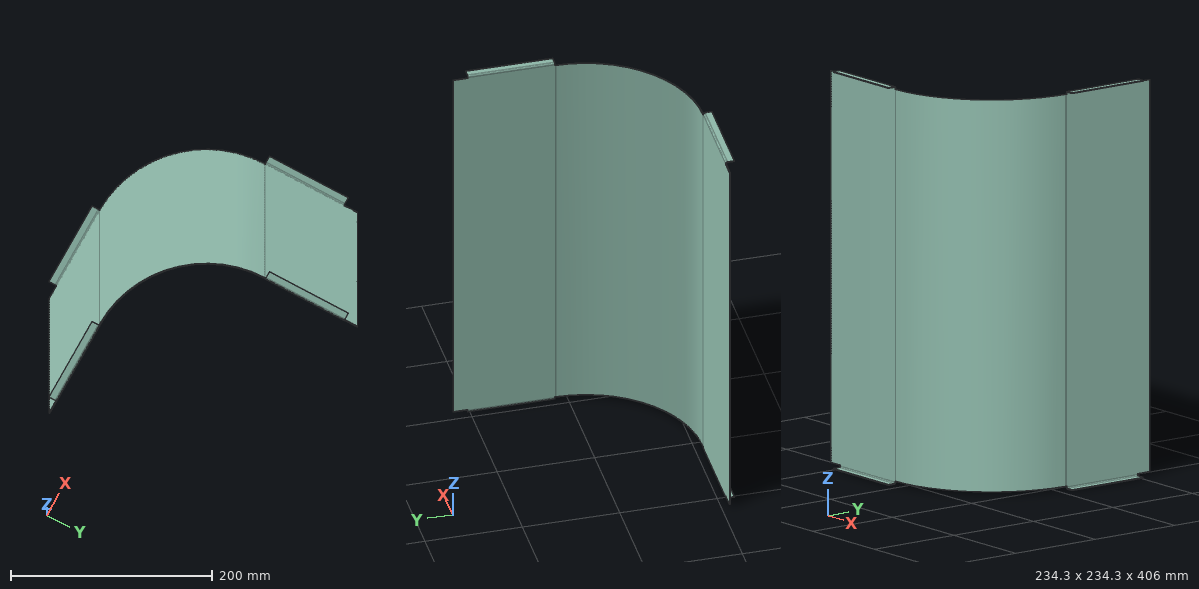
import cadquery as cq
import math

overall_height = 406
overall_width = 234.3

thickness = 1.0
flange_reach = 8.0
flat_length = 105.0
flange_rise = 3.05
sheet_height = overall_height - 2 * flange_rise
corner_radius = overall_width - flange_reach - flat_length

flange_width = 89.5
flange_inset = 15.0
inner_bend_radius = 1.0
outer_bend_radius = inner_bend_radius + thickness

outer_face = flat_length + corner_radius
inner_face = outer_face - thickness
half_root_2 = math.sqrt(0.5)


def corner_midpoint(radius):
    """Point halfway round the corner, for an arc of the given radius."""
    return (flat_length + radius * half_root_2, corner_radius - radius * half_root_2)


def curved_sheet():
    """Two straight legs joined by a quarter-round corner."""
    return (
        cq.Workplane("XY")
        .workplane(offset=-sheet_height / 2)
        .moveTo(0, 0)
        .lineTo(flat_length, 0)
        .threePointArc(corner_midpoint(corner_radius), (outer_face, corner_radius))
        .lineTo(outer_face, outer_face)
        .lineTo(inner_face, outer_face)
        .lineTo(inner_face, corner_radius)
        .threePointArc(corner_midpoint(corner_radius - thickness), (flat_length, thickness))
        .lineTo(0, thickness)
        .close()
        .extrude(sheet_height)
    )


def front_top_flange():
    """Strip rising from the front leg and bent outward, toward -Y."""
    top = overall_height / 2
    underside = top - thickness
    root = sheet_height / 2
    bend_y = thickness - outer_bend_radius
    bend_z = top - outer_bend_radius
    outer_mid = outer_bend_radius * half_root_2
    inner_mid = inner_bend_radius * half_root_2
    return (
        cq.Workplane("YZ")
        .workplane(offset=flange_inset)
        .moveTo(0, root)
        .lineTo(thickness, root)
        .lineTo(thickness, bend_z)
        .threePointArc((bend_y + outer_mid, bend_z + outer_mid), (bend_y, top))
        .lineTo(-flange_reach, top)
        .lineTo(-flange_reach, underside)
        .lineTo(bend_y, underside)
        .threePointArc((bend_y + inner_mid, bend_z + inner_mid), (0, bend_z))
        .close()
        .extrude(flange_width)
    )


def on_side_leg(front_body):
    """Reflect a front-leg body in the diagonal plane X + Y = outer_face."""
    turned = front_body.rotate((0, 0, 0), (0, 0, 1), 90)
    return turned.mirror("XZ").translate((outer_face, outer_face, 0))


result = curved_sheet()
front_flange = front_top_flange()
for top_flange in (front_flange, on_side_leg(front_flange)):
    result = result.union(top_flange).union(top_flange.mirror("XY"))